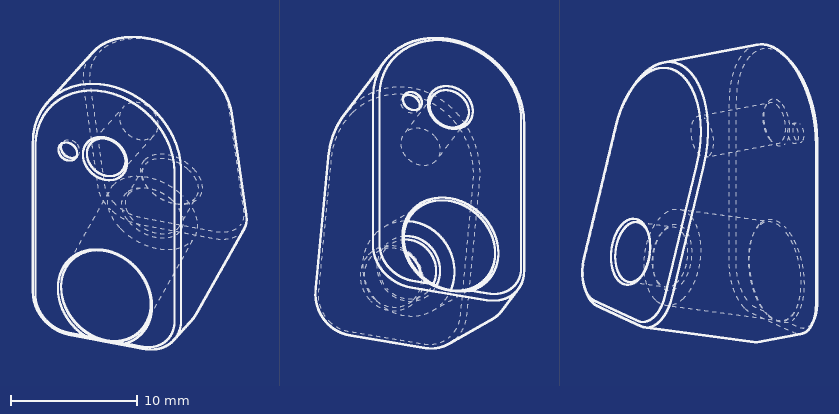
import cadquery as cq
import math

WIDTH = 12.7
HEIGHT = 22.86
TILT = 16.0
BACK_AT_CROWN = 11.33
FLAT_BASE_LENGTH = 4.5
CORNER_RADIUS = 3.18
FRONT_CHAMFER = 0.4
BACK_CHAMFER = 0.4

BORE_CENTRE_Z = -12.33
BORE_DIAMETER = 7.67
BORE_DEPTH = 10.2
BORE_RIM_CHAMFER = 0.2
SCREW_DIAMETER = 4.78
SCREW_CHAMFER = 0.24

TAP_DIAMETER = 3.3
TAP_DEPTH = 7.0
TAP_CHAMFER = 0.24
PIN_DIAMETER = 1.59
PIN_DEPTH = 0.5
PIN_X = -3.18
DRILL_POINT_ANGLE = 118.0
BEVEL_ANGLE = 45.0

CROWN_RADIUS = WIDTH / 2
BASE_Z = CROWN_RADIUS - HEIGHT
SIN_TILT = math.sin(math.radians(TILT))
COS_TILT = math.cos(math.radians(TILT))
TAN_TILT = math.tan(math.radians(TILT))
BACK_NORMAL = cq.Vector(0, COS_TILT, SIN_TILT)
INWARD = cq.Vector(0, 1, 0)
FRONT_CENTRE = cq.Vector(0, 0, 0)
BORE_START = cq.Vector(0, 0, BORE_CENTRE_Z)


def back_y(z):
    """Y of the tilted back face at height z."""
    return BACK_AT_CROWN - z * TAN_TILT


def make_body():
    """Wedge with a tilted back, a sloped underside, rounded base corners and a round crown."""
    heel_y = (
        (BACK_AT_CROWN - BASE_Z * TAN_TILT + FLAT_BASE_LENGTH * TAN_TILT**2)
        / (1 + TAN_TILT**2)
    )
    heel_z = BASE_Z + (heel_y - FLAT_BASE_LENGTH) * TAN_TILT
    wedge = (
        cq.Workplane("YZ", origin=(-WIDTH / 2, 0, 0))
        .moveTo(0, BASE_Z)
        .lineTo(FLAT_BASE_LENGTH, BASE_Z)
        .lineTo(heel_y, heel_z)
        .lineTo(back_y(CROWN_RADIUS), CROWN_RADIUS)
        .lineTo(0, CROWN_RADIUS)
        .close()
        .extrude(WIDTH)
    )
    underside_edges = cq.selectors.BoxSelector(
        (-WIDTH, 0, BASE_Z - CORNER_RADIUS), (WIDTH, heel_y, heel_z)
    )
    wedge = wedge.edges(underside_edges).edges("#X").fillet(CORNER_RADIUS)
    crown = (
        cq.Workplane("XZ")
        .moveTo(-CROWN_RADIUS, BASE_Z)
        .lineTo(CROWN_RADIUS, BASE_Z)
        .lineTo(CROWN_RADIUS, 0)
        .threePointArc((0, CROWN_RADIUS), (-CROWN_RADIUS, 0))
        .close()
        .extrude(-2 * heel_y)
    )
    body = wedge.intersect(crown)
    body = body.faces("<Y").edges().chamfer(FRONT_CHAMFER)
    back_face = cq.selectors.DirectionMinMaxSelector(BACK_NORMAL)
    return body.faces(back_face).edges().chamfer(BACK_CHAMFER)


def cylinder(diameter, length, start, direction):
    """Cylinder running from start along direction."""
    return cq.Workplane(cq.Solid.makeCylinder(diameter / 2, length, start, direction))


def cone(start_diameter, end_diameter, length, start, direction):
    """Cone or truncated cone running from start along direction."""
    return cq.Workplane(
        cq.Solid.makeCone(start_diameter / 2, end_diameter / 2, length, start, direction)
    )


def drilled_hole(x, diameter, depth):
    """Blind hole with a conical drill point, entering the front face at height Z = 0."""
    point_length = diameter / 2 / math.tan(math.radians(DRILL_POINT_ANGLE / 2))
    hole = cylinder(diameter, depth, cq.Vector(x, 0, 0), INWARD)
    return hole.union(cone(diameter, 0, point_length, cq.Vector(x, depth, 0), INWARD))


def tapped_hole():
    """Central blind hole with a bevelled mouth."""
    lead_in = cone(
        TAP_DIAMETER + 2 * TAP_CHAMFER, TAP_DIAMETER, TAP_CHAMFER, FRONT_CENTRE, INWARD
    )
    return drilled_hole(0, TAP_DIAMETER, TAP_DEPTH).union(lead_in)


def tilted_bore():
    """Counterbore from the front and a screw hole through the back face, on one tilted axis."""
    axis_to_back = (BACK_AT_CROWN - BORE_CENTRE_Z * TAN_TILT) * COS_TILT
    before_front = BORE_DIAMETER
    counterbore = cylinder(
        BORE_DIAMETER, BORE_DEPTH + before_front, BORE_START - BACK_NORMAL * before_front, BACK_NORMAL
    )
    screw_hole = cylinder(SCREW_DIAMETER, axis_to_back, BORE_START, BACK_NORMAL)
    rim = SCREW_DIAMETER + 2 * SCREW_CHAMFER
    floor_chamfer = cone(
        rim, SCREW_DIAMETER, SCREW_CHAMFER, BORE_START + BACK_NORMAL * BORE_DEPTH, BACK_NORMAL
    )
    back_chamfer = cone(
        rim, SCREW_DIAMETER, SCREW_CHAMFER, BORE_START + BACK_NORMAL * axis_to_back, BACK_NORMAL * -1
    )
    return counterbore.union(screw_hole).union(floor_chamfer).union(back_chamfer)


def bore_rim():
    """Bevel around the elliptical mouth of the counterbore."""
    half_width = BORE_DIAMETER / 2 + BORE_RIM_CHAMFER
    half_height = BORE_DIAMETER / 2 / COS_TILT + BORE_RIM_CHAMFER
    return (
        cq.Workplane("XZ", origin=(0, 0, BORE_CENTRE_Z))
        .ellipse(half_width, half_height)
        .extrude(-BORE_RIM_CHAMFER, taper=BEVEL_ANGLE)
    )


result = (
    make_body()
    .cut(tapped_hole())
    .cut(drilled_hole(PIN_X, PIN_DIAMETER, PIN_DEPTH))
    .cut(tilted_bore())
    .cut(bore_rim())
)